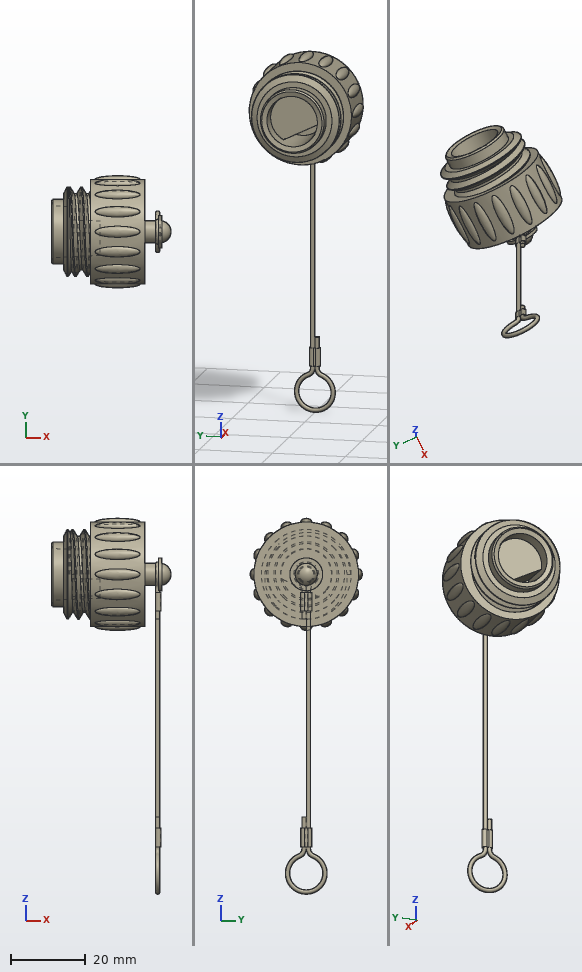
import cadquery as cq
import math


collar_start = 3.3
collar_crest_end = 4.5
grip_start = 10.4
grip_end = 25.0
post_end = 28.0
washer_start = 28.6
washer_end = 29.5
dome_center = 29.0

nose_radius = 17.4 / 2
nose_lip_radius = 16.5 / 2
nose_lip_length = 0.5
thread_root_radius = 20.5 / 2
thread_crest_radius = 24.0 / 2
grip_radius = 28.0 / 2
post_radius = 6.0 / 2
neck_radius = 4.0 / 2
washer_radius = 8.8 / 2
dome_radius = post_radius

thread_pitch = 3.2
thread_base_width = 2.5
thread_crest_width = 0.3
thread_flank_run = (thread_base_width - thread_crest_width) / 2
thread_overlap = 0.3
thread_first_crest = 4.85
thread_turns = 2.25

bore_mouth_radius = 13.8 / 2
bore_mouth_depth = 0.4
bore_draft = math.radians(2)
bore_depth = 13.0
bore_floor_depth = 4.3
floor_chord_distance = 3.95
floor_chord_tilt = 26.0

bump_count = 16
bump_length = 12.0
bump_width = 3.0
bump_height = 1.0

wire_radius = 1.2 / 2
wire_station = 28.4
upper_loop_radius = 4.3 / 2 + wire_radius
lower_loop_radius = 8.8 / 2 + wire_radius
lanyard_bottom = -85.5
lower_loop_z = lanyard_bottom + lower_loop_radius + wire_radius
upper_neck_z = -4.0
lower_neck_z = -73.4
ferrule_length = 5.0
upper_ferrule_gap = 0.8
lower_ferrule_gap = 0.6
upper_tail = 2.1
lower_tail = 3.0
ferrule_lobe_radius = 0.75
ferrule_web_thickness = 1.35
ferrule_station = wire_station - wire_radius + ferrule_lobe_radius


def revolve_about_x(outline):
    return outline.close().revolve(360, (0, 0, 0), (1, 0, 0))


def make_cap_body():
    """Nose, collar with its ring-shaped crest, thread root, grip, post, washer and dome."""
    collar_crest_start = collar_crest_end - thread_crest_width
    collar_end = collar_crest_end + thread_flank_run
    dome_edge = math.sqrt(dome_radius ** 2 - (washer_end - dome_center) ** 2)
    dome_mid = dome_radius * math.cos(math.radians(45))
    outline = (
        cq.Workplane("XY")
        .moveTo(0, 0)
        .lineTo(0, nose_lip_radius)
        .lineTo(nose_lip_length, nose_radius)
        .lineTo(collar_start, nose_radius)
        .lineTo(collar_start, thread_root_radius)
        .lineTo(collar_crest_start, thread_crest_radius)
        .lineTo(collar_crest_end, thread_crest_radius)
        .lineTo(collar_end, thread_root_radius)
        .lineTo(grip_start, thread_root_radius)
        .lineTo(grip_start, grip_radius)
        .lineTo(grip_end, grip_radius)
        .lineTo(grip_end, post_radius)
        .lineTo(post_end, post_radius)
        .lineTo(post_end, neck_radius)
        .lineTo(washer_start, neck_radius)
        .lineTo(washer_start, washer_radius)
        .lineTo(washer_end, washer_radius)
        .lineTo(washer_end, dome_edge)
        .threePointArc((dome_center + dome_mid, dome_mid), (dome_center + dome_radius, 0))
    )
    return revolve_about_x(outline)


def make_thread():
    """Right-handed helical ridge, made about Z and then laid along X with its start at +Y."""
    base_radius = thread_root_radius - thread_overlap
    flank_slope = thread_flank_run / (thread_crest_radius - thread_root_radius)
    base_half = thread_base_width / 2 + flank_slope * thread_overlap
    crest_half = thread_crest_width / 2
    path = cq.Wire.makeHelix(thread_pitch, thread_pitch * thread_turns, base_radius)
    ridge = (
        cq.Workplane("XZ")
        .polyline([
            (base_radius, -base_half),
            (thread_crest_radius, -crest_half),
            (thread_crest_radius, crest_half),
            (base_radius, base_half),
        ])
        .close()
        .sweep(cq.Workplane(obj=path), isFrenet=True)
    )
    ridge = ridge.rotate((0, 0, 0), (0, 1, 0), 90).rotate((0, 0, 0), (1, 0, 0), 90)
    return ridge.translate((thread_first_crest, 0, 0))


def make_bore():
    """Drafted bore with a countersunk mouth; a solid step fills all but one segment past the floor."""
    bore_end_radius = bore_mouth_radius - (bore_depth - bore_mouth_depth) * math.tan(bore_draft)
    bore = revolve_about_x(
        cq.Workplane("XY")
        .moveTo(0, 0)
        .lineTo(0, nose_lip_radius)
        .lineTo(bore_mouth_depth, bore_mouth_radius)
        .lineTo(bore_depth, bore_end_radius)
        .lineTo(bore_depth, 0)
    )
    floor_width = 2 * bore_mouth_radius
    floor_lift = bore_mouth_radius - floor_chord_distance
    floor = (
        cq.Workplane("XY")
        .box(bore_depth - bore_floor_depth, floor_width, floor_width, centered=(False, True, True))
        .translate((bore_floor_depth, 0, floor_lift))
        .rotate((0, 0, 0), (1, 0, 0), -floor_chord_tilt)
    )
    return bore.cut(floor)


def make_bumps():
    """Ellipsoidal finger bumps spaced evenly around the grip."""
    stretch = cq.Matrix([
        [bump_length / 2, 0, 0, (grip_start + grip_end) / 2],
        [0, bump_width / 2, 0, 0],
        [0, 0, bump_height, grip_radius],
    ])
    bump = cq.Workplane(obj=cq.Workplane("XY").sphere(1).val().transformGeometry(stretch))
    return [
        bump.rotate((0, 0, 0), (1, 0, 0), i * 360 / bump_count)
        for i in range(bump_count)
    ]


def sweep_wire(path):
    """Sweep the round wire along a path in the YZ plane that starts along Z."""
    start = path.val().startPoint()
    profile = cq.Workplane("XY", origin=start.toTuple()).circle(wire_radius)
    return profile.sweep(path)


def make_loop(loop_radius, center_z, neck_z, tail_end_z, main_end_z):
    """Wire loop whose ends bend through small arcs into two touching parallel strands."""
    toward_loop = math.copysign(1, center_z - neck_z)
    reach = abs(center_z - neck_z)
    bend_radius = (wire_radius ** 2 + reach ** 2 - loop_radius ** 2) / (2 * (loop_radius - wire_radius))
    bend_y = wire_radius + bend_radius
    join_angle = math.atan2(reach, bend_y)
    join_y = loop_radius * math.cos(join_angle)
    join_z = center_z - toward_loop * loop_radius * math.sin(join_angle)
    bend_mid_y = bend_y - bend_radius * math.cos(join_angle / 2)
    bend_mid_z = neck_z + toward_loop * bend_radius * math.sin(join_angle / 2)
    path = (
        cq.Workplane("YZ", origin=(wire_station, 0, 0))
        .moveTo(-wire_radius, tail_end_z)
        .lineTo(-wire_radius, neck_z)
        .threePointArc((-bend_mid_y, bend_mid_z), (-join_y, join_z))
        .threePointArc((0, center_z + toward_loop * loop_radius), (join_y, join_z))
        .threePointArc((bend_mid_y, bend_mid_z), (wire_radius, neck_z))
        .lineTo(wire_radius, main_end_z)
    )
    return sweep_wire(path)


def make_ferrule(bottom_z):
    """Crimped sleeve: two round lobes side by side joined by a flat web."""
    lobes = (
        cq.Workplane("XY", origin=(ferrule_station, 0, bottom_z))
        .pushPoints([(0, -ferrule_lobe_radius), (0, ferrule_lobe_radius)])
        .circle(ferrule_lobe_radius)
        .extrude(ferrule_length)
    )
    web = (
        cq.Workplane("XY", origin=(ferrule_station, 0, bottom_z))
        .rect(ferrule_web_thickness, 2 * ferrule_lobe_radius)
        .extrude(ferrule_length)
    )
    return lobes.union(web)


def make_lanyard():
    upper_ferrule_z = upper_neck_z - upper_ferrule_gap - ferrule_length
    lower_ferrule_z = lower_neck_z + lower_ferrule_gap
    middle_z = (upper_neck_z + lower_neck_z) / 2
    upper_loop = make_loop(upper_loop_radius, 0, upper_neck_z, upper_ferrule_z - upper_tail, middle_z)
    lower_loop = make_loop(
        lower_loop_radius,
        lower_loop_z,
        lower_neck_z,
        lower_ferrule_z + ferrule_length + lower_tail,
        middle_z,
    )
    wire = upper_loop.union(lower_loop)
    return wire.union(make_ferrule(upper_ferrule_z)).union(make_ferrule(lower_ferrule_z))


cap = make_cap_body().union(make_thread()).cut(make_bore())
for grip_bump in make_bumps():
    cap = cap.union(grip_bump)

result = cap.union(make_lanyard()).clean()